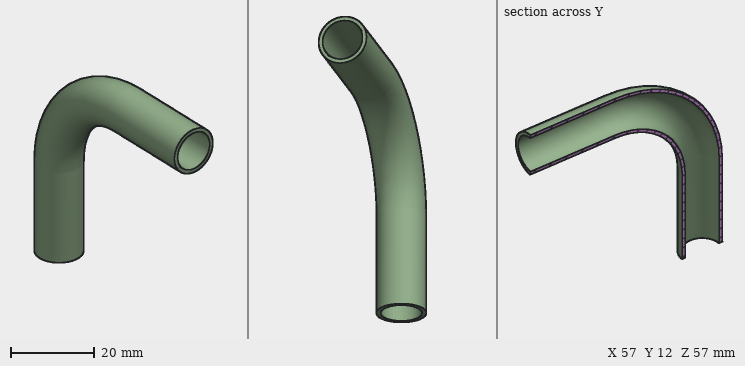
import cadquery as cq

overall_length = 57.0
outer_diameter = 12.0
bore_diameter = 10.0
straight_length = 25.0

bend_radius = overall_length - straight_length - outer_diameter / 2
bend_angle = 90


def tube_section(workplane):
    """Draw the ring-shaped cross-section of the tube."""
    return workplane.circle(outer_diameter / 2).circle(bore_diameter / 2)


vertical_leg = tube_section(cq.Workplane("XY")).extrude(straight_length)

bend = tube_section(cq.Workplane("XY", origin=(0, 0, straight_length))).revolve(
    bend_angle, (bend_radius, 0), (bend_radius, 1)
)

horizontal_start = (bend_radius, 0, straight_length + bend_radius)
horizontal_leg = tube_section(cq.Workplane("YZ", origin=horizontal_start)).extrude(straight_length)

result = vertical_leg.union(bend).union(horizontal_leg)